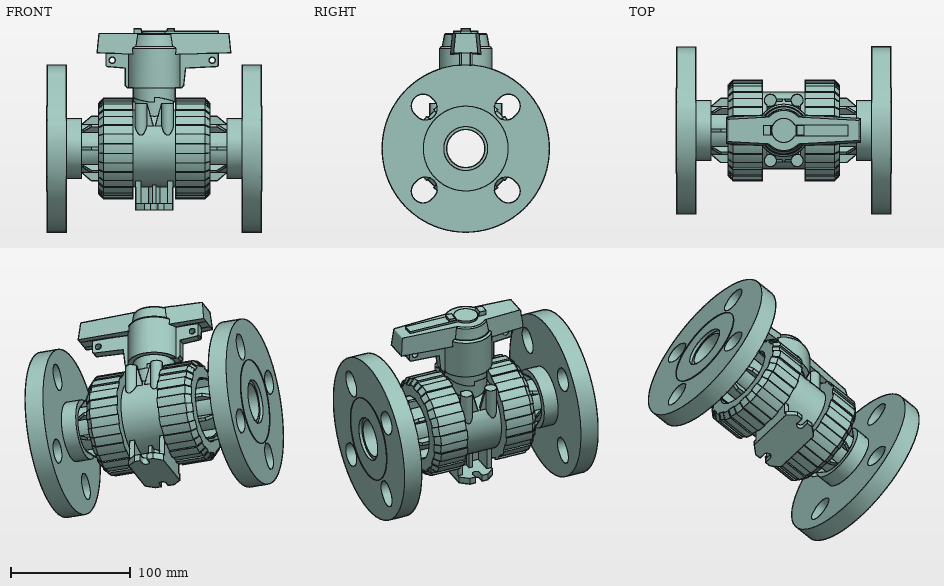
import cadquery as cq
import math


bore_radius = 15.8

flange_end = 90.0
flange_radius = 70.0
raised_face_radius = 35.5
raised_face_height = 0.5
flange_back = 73.5
flange_hub_radius = 25.2
flange_hub_end = 60.7
socket_radius = 18.4
bolt_circle_radius = 49.0
bolt_slot_width = 19.5
bolt_slot_length = 22.3
bolt_count = 4

spigot_recess = 2.7
connector_radius = 20.2
connector_rib_radius = 27.0
connector_rib_width = 2.7
connector_rib_full_end = 52.5
connector_rib_count = 8
collar_radius = 29.7
collar_outer = 39.6
collar_inner = 32.4

nut_outer = 46.6
nut_inner = 17.8
nut_radius = 42.3
nut_valley_radius = 40.9
nut_chamfer = 4.3
nut_mouth_radius = 27.2
nut_rib_count = 16
nut_rib_angle = 360 / (2 * nut_rib_count)

housing_radius = 32.2
neck_radius = 17.6
neck_half_width = 16.2
pin_x = 11.2
pin_y = 25.2
pin_radius = 5.0
pin_top = 37.8
pin_foot = 9.0
web_width = 2.0
web_tip_x = 0.7
web_foot = 18.7
inner_web_x = 13.1
inner_web_tip_y = 17.1
inner_web_foot = 27.0

tooth_count = 4
tooth_half_angle = 180 / tooth_count
tooth_root = 38.9
tooth_height = 3.6
tooth_flat_angle = 14.0

bracket_half_length = 15.5
bracket_bottom = -51.5
foot_thickness = 5.8
post_width = 4.3
post_half_depth = 17.6
foot_half_depth = 25.7
foot_side_half_depth = 19.8
foot_flat_half_length = 8.3
foot_slot_radius = 3.0
foot_slot_centre = 20.5
bracket_wall = 1.8
boss_radius = 5.0
bracket_rib_width = 3.2
bracket_rib_half_depth = 10.0

skirt_bottom = 50.8
skirt_top = 85.3
skirt_radius = 22.0
skirt_chamfer = 1.6
crown_base_radius = 19.6
crown_top_radius = 17.8
crown_chamfer = 1.0
grip_top = 96.3
grip_end_bottom = 80.0
grip_middle_bottom = 78.3
grip_left = -48.0
grip_right = 64.3
grip_end_lean = 1.8
grip_half_width = 13.9
grip_taper = 0.056
grip_side_lean = 2.0
grip_end_round = 1.0
cap_radius = 10.0
cap_top = 98.1
strip_right = 53.6
strip_half_width = 4.5
tab_half_width = 4.0
tab_inner = 10.3
tab_inner_top = 11.2
tab_outer = 17.0
tab_top = 100.3

plate_half_thickness = 3.8
plate_slot_half_width = 5.0
plate_left = -40.5
plate_right = 53.6
plate_bottom = 68.4
plate_shoulder = 67.1
plate_corner = 1.0
plate_stem_left = -24.3
plate_stem_right = 26.3
plate_stem_lean = 1.6
plate_stem_corner = 1.8
plate_hole_radius = 2.5
plate_hole_z = 73.8
plate_hole_x = (-35.1, 48.5)


def x_cylinder(radius, x_start, x_end):
    """Cylinder on the pipe axis."""
    return cq.Workplane("YZ").workplane(offset=x_start).circle(radius).extrude(x_end - x_start)


def z_cylinder(radius, z_start, z_end, x=0, y=0):
    """Upright cylinder."""
    return cq.Workplane("XY").workplane(offset=z_start).center(x, y).circle(radius).extrude(z_end - z_start)


def block(x_start, x_end, y_start, y_end, z_start, z_end):
    """Box between opposite corners."""
    box = cq.Workplane("XY").box(x_end - x_start, y_end - y_start, z_end - z_start, centered=False)
    return box.translate((x_start, y_start, z_start))


def xz_plate(points, half_thickness):
    """Closed outline in XZ, thickened evenly about Y = 0."""
    return cq.Workplane("XZ").polyline(points).close().extrude(half_thickness, both=True)


def facing_pair(solid):
    """The given +X solid and its copy turned half a turn about Z."""
    return [solid, solid.rotate((0, 0, 0), (0, 0, 1), 180)]


def make_flange():
    face = flange_end - raised_face_height
    flange = x_cylinder(flange_radius, flange_back, face)
    flange = flange.union(x_cylinder(raised_face_radius, face, flange_end))
    flange = flange.union(x_cylinder(flange_hub_radius, flange_hub_end, flange_back))
    flange = flange.cut(x_cylinder(socket_radius, flange_hub_end, flange_end))
    bolt_slots = (
        cq.Workplane("YZ").workplane(offset=flange_back)
        .polarArray(bolt_circle_radius, 180 / bolt_count, 360, bolt_count)
        .slot2D(bolt_slot_length, bolt_slot_width).extrude(face - flange_back)
    )
    return flange.cut(bolt_slots)


def make_connector():
    connector = x_cylinder(collar_radius, collar_inner, collar_outer)
    connector = connector.union(x_cylinder(connector_radius, collar_outer, flange_hub_end))
    connector = connector.union(x_cylinder(socket_radius, flange_hub_end, flange_end - spigot_recess))
    rib_outline = [
        (collar_outer, 0),
        (collar_outer, connector_rib_radius),
        (connector_rib_full_end, connector_rib_radius),
        (flange_hub_end, connector_radius),
        (flange_hub_end, 0),
    ]
    rib = xz_plate(rib_outline, connector_rib_width / 2)
    for index in range(connector_rib_count):
        connector = connector.union(rib.rotate((0, 0, 0), (1, 0, 0), index * 360 / connector_rib_count))
    return connector.cut(x_cylinder(bore_radius, collar_inner, flange_end))


def nut_shell(radius):
    """Solid of revolution with a chamfered outer edge."""
    return x_cylinder(radius, nut_inner, nut_outer).faces(">X").chamfer(nut_chamfer)


def make_nut():
    nut = nut_shell(nut_valley_radius)
    half_angle = math.radians(nut_rib_angle / 2)
    reach = 2 * nut_radius
    wedge = (
        cq.Workplane("YZ").workplane(offset=nut_inner)
        .polyline([
            (0, 0),
            (reach * math.cos(half_angle), -reach * math.sin(half_angle)),
            (reach * math.cos(half_angle), reach * math.sin(half_angle)),
        ]).close().extrude(nut_outer - nut_inner)
    )
    rib = nut_shell(nut_radius).intersect(wedge)
    for index in range(nut_rib_count):
        rib_direction = (2 * index + 1) * nut_rib_angle
        nut = nut.union(rib.rotate((0, 0, 0), (1, 0, 0), rib_direction))
    nut = nut.cut(x_cylinder(housing_radius, nut_inner, collar_inner))
    nut = nut.cut(x_cylinder(collar_radius, collar_inner, collar_outer))
    return nut.cut(x_cylinder(nut_mouth_radius, collar_outer, nut_outer))


def make_stop_teeth():
    """Ring of ramps on top of the neck, one per quarter turn, each with one steep side."""
    step_offset = neck_radius * math.sin(math.radians(tooth_half_angle))
    ramp_offset = neck_radius * math.sin(math.radians(tooth_half_angle - tooth_flat_angle))
    tooth_top = tooth_root + tooth_height
    ramp = (
        cq.Workplane("XZ")
        .polyline([
            (-step_offset, tooth_root),
            (-step_offset, tooth_top),
            (-ramp_offset, tooth_top),
            (ramp_offset, tooth_root),
        ]).close().extrude(neck_radius)
        .rotate((0, 0, 0), (0, 0, 1), tooth_half_angle)
    )
    quarter = block(0, neck_radius, -neck_radius, 0, tooth_root, tooth_top)
    tooth = ramp.intersect(quarter).intersect(z_cylinder(neck_radius, tooth_root, tooth_top))
    teeth = tooth
    for index in range(1, tooth_count):
        teeth = teeth.union(tooth.rotate((0, 0, 0), (0, 0, 1), index * 360 / tooth_count))
    return teeth


def make_pins():
    """Four upright pins, each braced by a web towards its neighbour and one towards the neck."""
    web_outline = [(pin_x, pin_top), (pin_x - pin_radius, pin_top), (web_tip_x, web_foot), (pin_x, web_foot)]
    web = xz_plate(web_outline, web_width / 2).translate((0, pin_y, 0))
    inner_web = (
        cq.Workplane("YZ").workplane(offset=inner_web_x)
        .polyline([
            (pin_y, pin_top), (pin_y - pin_radius, pin_top),
            (inner_web_tip_y, inner_web_foot), (pin_y, pin_foot),
        ]).close().extrude(web_width / 2, both=True)
    )
    corner = z_cylinder(pin_radius, pin_foot, pin_top, pin_x, pin_y).union(web).union(inner_web)
    pair = corner.union(corner.mirror("YZ"))
    return pair.union(pair.mirror("XZ"))


def make_bracket():
    foot_top = bracket_bottom + foot_thickness
    foot = (
        cq.Workplane("XY").workplane(offset=bracket_bottom)
        .polyline([
            (-bracket_half_length, -foot_side_half_depth),
            (-foot_flat_half_length, -foot_half_depth),
            (foot_flat_half_length, -foot_half_depth),
            (bracket_half_length, -foot_side_half_depth),
            (bracket_half_length, foot_side_half_depth),
            (foot_flat_half_length, foot_half_depth),
            (-foot_flat_half_length, foot_half_depth),
            (-bracket_half_length, foot_side_half_depth),
        ]).close().extrude(foot_thickness)
    )
    for side in (-1, 1):
        slot_end = z_cylinder(foot_slot_radius, bracket_bottom, foot_top, 0, side * foot_slot_centre)
        slot_mouth = block(
            -foot_slot_radius, foot_slot_radius,
            min(side * foot_slot_centre, side * foot_half_depth),
            max(side * foot_slot_centre, side * foot_half_depth),
            bracket_bottom, foot_top,
        )
        foot = foot.cut(slot_end).cut(slot_mouth)
    bracket = foot.union(block(
        -bracket_half_length, bracket_half_length, -bracket_wall / 2, bracket_wall / 2, bracket_bottom, 0))
    for x_start in (-bracket_half_length, bracket_half_length - post_width):
        bracket = bracket.union(block(
            x_start, x_start + post_width, -post_half_depth, post_half_depth, bracket_bottom, 0))
    bracket = bracket.union(z_cylinder(boss_radius, bracket_bottom, 0))
    return bracket.union(block(
        -bracket_rib_width / 2, bracket_rib_width / 2,
        -bracket_rib_half_depth, bracket_rib_half_depth, bracket_bottom, 0))


def make_housing(stop_teeth):
    housing = x_cylinder(housing_radius, -collar_inner, collar_inner)
    neck = z_cylinder(neck_radius, 0, tooth_root).intersect(block(
        -neck_half_width, neck_half_width, -neck_radius, neck_radius, 0, tooth_root))
    housing = housing.union(neck).union(stop_teeth)
    housing = housing.union(make_pins()).union(make_bracket())
    return housing.cut(x_cylinder(bore_radius, -collar_inner, collar_inner))


def grip_section(lean):
    """Corners of the grip outline after moving the ends and sides in."""
    left = grip_left + lean * grip_end_lean
    right = grip_right - lean * grip_end_lean
    middle_half = grip_half_width - lean * grip_side_lean
    left_half = middle_half + grip_taper * left
    right_half = middle_half - grip_taper * right
    return [
        (left, -left_half), (0, -middle_half), (right, -right_half),
        (right, right_half), (0, middle_half), (left, left_half),
    ]


def make_grip():
    grip = (
        cq.Workplane("XY").workplane(offset=grip_middle_bottom)
        .polyline(grip_section(0)).close()
        .workplane(offset=grip_top - grip_middle_bottom)
        .polyline(grip_section(1)).close().loft(ruled=True)
    )
    grip = grip.faces(">Z").edges("|Y").fillet(grip_end_round)
    for end in (grip_left, grip_right):
        sloping_wedge = [(0, grip_middle_bottom), (end, grip_middle_bottom), (end, grip_end_bottom)]
        grip = grip.cut(xz_plate(sloping_wedge, grip_half_width))
    return grip


def make_crown():
    """Round middle of the grip, a cone with a chamfered top."""
    return (
        cq.Workplane("XZ")
        .polyline([
            (0, skirt_top),
            (crown_base_radius, skirt_top),
            (crown_top_radius, grip_top - crown_chamfer),
            (crown_top_radius - crown_chamfer, grip_top),
            (0, grip_top),
        ]).close().revolve(360, (0, 0), (0, 1))
    )


def make_cap():
    """Raised disc, label strip and two tabs on top of the grip."""
    cap = z_cylinder(cap_radius, grip_top, cap_top)
    cap = cap.union(block(0, strip_right, -strip_half_width, strip_half_width, grip_top, cap_top))
    tab_outline = [
        (tab_inner, grip_top), (tab_inner, cap_top), (tab_inner_top, tab_top),
        (tab_outer, tab_top), (tab_outer, grip_top),
    ]
    tab = xz_plate(tab_outline, tab_half_width)
    return cap.union(tab).union(tab.mirror("YZ"))


def make_key_plate():
    plate = xz_plate([
        (plate_left, grip_end_bottom),
        (plate_left, plate_bottom + plate_corner),
        (plate_left + plate_corner, plate_bottom),
        (plate_stem_left, plate_shoulder),
        (plate_stem_left, skirt_bottom + plate_stem_corner),
        (plate_stem_left + plate_stem_corner, skirt_bottom),
        (plate_stem_right - plate_stem_lean - plate_stem_corner, skirt_bottom),
        (plate_stem_right - plate_stem_lean, skirt_bottom + plate_stem_corner),
        (plate_stem_right, plate_shoulder),
        (plate_right - plate_corner, plate_bottom),
        (plate_right, plate_bottom + plate_corner),
        (plate_right, grip_end_bottom),
    ], plate_half_thickness)
    holes = (
        cq.Workplane("XZ").pushPoints([(x, plate_hole_z) for x in plate_hole_x])
        .circle(plate_hole_radius).extrude(plate_half_thickness, both=True)
    )
    return plate.cut(holes)


def make_handle(stop_teeth):
    skirt = z_cylinder(skirt_radius, skirt_bottom, skirt_top).faces(">Z").chamfer(skirt_chamfer)
    handle = skirt.union(make_grip()).union(make_crown()).union(make_cap())
    handle = handle.cut(block(
        grip_left, grip_right, -plate_slot_half_width, plate_slot_half_width, skirt_bottom, grip_end_bottom))
    handle = handle.union(make_key_plate())
    stop_collar = z_cylinder(neck_radius, tooth_root, skirt_bottom)
    return handle.union(stop_collar).cut(stop_teeth)


stop_teeth = make_stop_teeth()
housing = make_housing(stop_teeth)
handle = make_handle(stop_teeth)
flanges = facing_pair(make_flange())
connectors = facing_pair(make_connector())
nuts = facing_pair(make_nut())

bodies = [housing, handle, *flanges, *connectors, *nuts]
result = cq.Compound.makeCompound([body.val() for body in bodies])